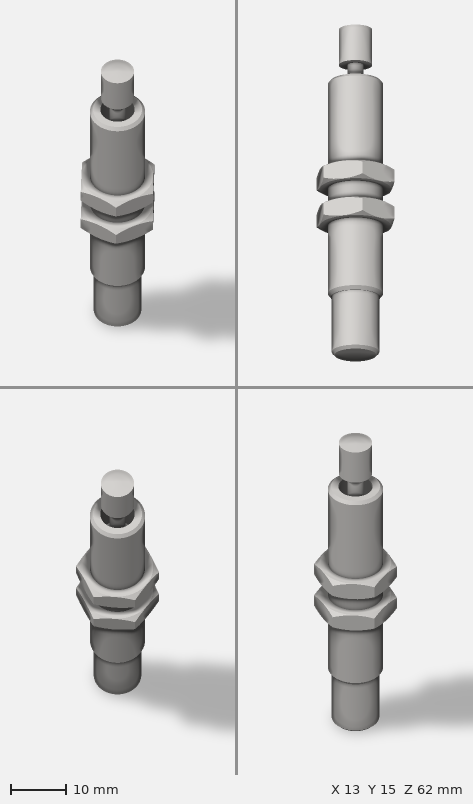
import cadquery as cq
import math

total_height = 62.05
housing_top = 52.05
cap_height = 6.95
cap_bottom = total_height - cap_height
shoulder_top = 11.65

housing_diameter = 10.0
tail_diameter = 8.6
shoulder_diameter = 8.95
bore_diameter = 6.2
cap_diameter = 6.0
rod_diameter = 3.0
edge_chamfer = 0.55
cone_rise = 0.2
bore_depth = cap_height
shoulder_height = 0.7

nut_across_flats = 13.0
nut_across_corners = nut_across_flats / math.cos(math.pi / 6)
nut_height = 3.5
nut_face_diameter = 12.9
nut_chamfer_angle = math.radians(30)
lower_nut_bottom = 24.5
nut_spacing = 7.0
nut_count = 2


def make_absorber():
    """Housing and plunger with a shallow conical top, joined at the floor of the bore."""
    housing_radius = housing_diameter / 2
    tail_radius = tail_diameter / 2
    cap_radius = cap_diameter / 2
    rod_radius = rod_diameter / 2
    bore_radius = bore_diameter / 2
    bore_floor = housing_top - bore_depth
    shoulder_bottom = shoulder_top - shoulder_height

    profile = (
        cq.Workplane("XZ")
        .moveTo(0, 0)
        .lineTo(tail_radius - edge_chamfer, 0)
        .lineTo(tail_radius, edge_chamfer)
        .lineTo(tail_radius, shoulder_bottom)
        .lineTo(shoulder_diameter / 2, shoulder_bottom)
        .lineTo(housing_radius, shoulder_top)
        .lineTo(housing_radius, housing_top - edge_chamfer)
        .lineTo(housing_radius - edge_chamfer, housing_top)
        .lineTo(bore_radius, housing_top)
        .lineTo(bore_radius, bore_floor)
        .lineTo(rod_radius, bore_floor)
        .lineTo(rod_radius, cap_bottom)
        .lineTo(cap_radius, cap_bottom)
        .lineTo(cap_radius, total_height - cone_rise)
        .lineTo(0, total_height)
        .close()
    )
    return profile.revolve(360, (0, 0, 0), (0, 1, 0))


def make_nut(bottom):
    """Hexagonal nut with its corners chamfered at both ends."""
    corner_radius = nut_across_corners / 2
    face_radius = nut_face_diameter / 2
    chamfer_depth = (corner_radius - face_radius) * math.tan(nut_chamfer_angle)

    hexagon = (
        cq.Workplane("XY")
        .polygon(6, nut_across_corners)
        .extrude(nut_height)
        .rotate((0, 0, 0), (0, 0, 1), 30)
    )
    chamfer_envelope = (
        cq.Workplane("XZ")
        .moveTo(0, 0)
        .lineTo(face_radius, 0)
        .lineTo(corner_radius, chamfer_depth)
        .lineTo(corner_radius, nut_height - chamfer_depth)
        .lineTo(face_radius, nut_height)
        .lineTo(0, nut_height)
        .close()
        .revolve(360, (0, 0, 0), (0, 1, 0))
    )
    hole = cq.Workplane("XY").circle(housing_diameter / 2).extrude(nut_height)
    return hexagon.intersect(chamfer_envelope).cut(hole).translate((0, 0, bottom))


absorber = make_absorber()
nuts = [make_nut(lower_nut_bottom + i * nut_spacing) for i in range(nut_count)]

result = cq.Compound.makeCompound([absorber.val(), *[nut.val() for nut in nuts]])